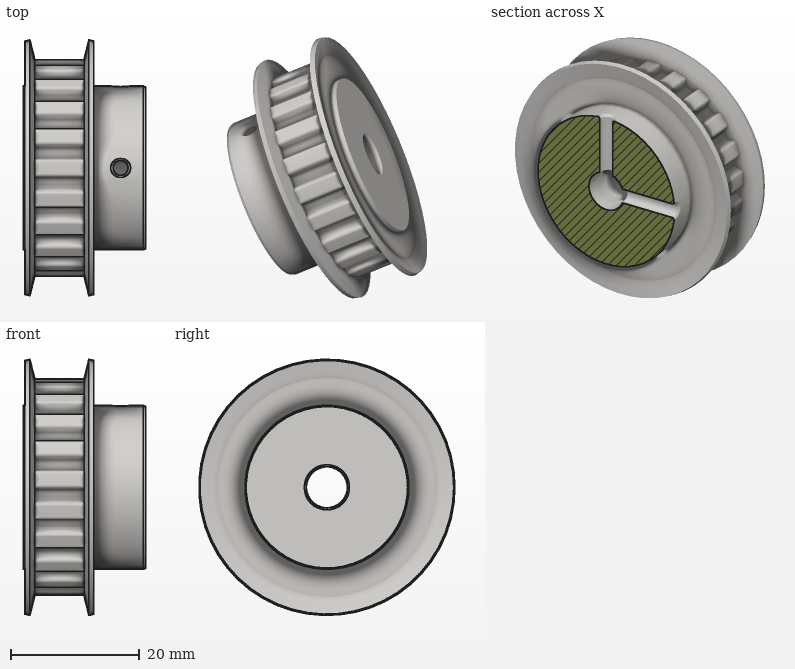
import cadquery as cq
import math

total_length = 19.05
hub_radius = 12.7
hub_chamfer_length = 0.45
hub_chamfer_depth = 0.2
bore_radius = 3.18
bore_chamfer = 0.3

tooth_count = 21
tip_radius = 16.8
tooth_depth = 1.43
groove_floor_width = 1.3
groove_side_angle = 25.0
tooth_rounding = 0.48
belt_start = 1.8
belt_width = 7.7

flange_radius = 19.85
flange_bend_radius = 16.95
flange_thickness = 0.85
flare_angle = 14.0

screw_position = 15.13
screw_angles = (0, -90)
screw_radius = 1.15
screw_countersink_radius = 1.55


def turned(points):
    """Revolve an (X, radius) outline about the X axis."""
    return cq.Workplane("XY").polyline(points).close().revolve(360, (0, 0, 0), (1, 0, 0))


def make_hub():
    return turned([
        (0, 0),
        (0, hub_radius),
        (total_length - hub_chamfer_length, hub_radius),
        (total_length, hub_radius - hub_chamfer_depth),
        (total_length, 0),
    ])


def make_toothed_rim():
    pitch_angle = 360 / tooth_count
    root_radius = tip_radius - tooth_depth
    cutter_height = 2 * tooth_depth
    widening = cutter_height * math.tan(math.radians(groove_side_angle))
    floor_half_width = groove_floor_width / 2
    mouth_half_width = floor_half_width + widening
    cutter = (
        cq.Workplane("YZ")
        .polyline([
            (-floor_half_width, root_radius),
            (floor_half_width, root_radius),
            (mouth_half_width, root_radius + cutter_height),
            (-mouth_half_width, root_radius + cutter_height),
        ])
        .close()
        .extrude(belt_width)
    )
    rim = cq.Workplane("YZ").circle(tip_radius).extrude(belt_width)
    for index in range(tooth_count):
        angle = (index + 0.5) * pitch_angle
        rim = rim.cut(cutter.rotate((0, 0, 0), (1, 0, 0), angle))
    rim = rim.edges("|X").fillet(tooth_rounding)
    return rim.translate((belt_start, 0, 0))


def make_flange(inner_face, outward):
    """Flange with its belt-side face at inner_face; outward is -1 or +1 along X."""
    flare = math.radians(flare_angle)
    flare_offset = (flange_radius - flange_bend_radius) * math.tan(flare)
    outer_face = inner_face + outward * flange_thickness
    rim_inner = inner_face + outward * flare_offset
    sheet_thickness = flange_thickness * math.cos(flare)
    rim_outer = rim_inner + outward * sheet_thickness * math.cos(flare)
    rim_outer_radius = flange_radius - sheet_thickness * math.sin(flare)
    return turned([
        (inner_face, 0),
        (inner_face, flange_bend_radius),
        (rim_inner, flange_radius),
        (rim_outer, rim_outer_radius),
        (outer_face, flange_bend_radius),
        (outer_face, 0),
    ])


def make_bore():
    mouth_radius = bore_radius + bore_chamfer
    return turned([
        (0, 0),
        (0, mouth_radius),
        (bore_chamfer, bore_radius),
        (total_length - bore_chamfer, bore_radius),
        (total_length, mouth_radius),
        (total_length, 0),
    ])


def make_screw_hole(angle):
    countersink_depth = screw_countersink_radius - screw_radius
    return (
        cq.Workplane("XZ", origin=(screw_position, 0, 0))
        .polyline([
            (0, 0),
            (screw_radius, 0),
            (screw_radius, hub_radius - countersink_depth),
            (screw_countersink_radius, hub_radius),
            (0, hub_radius),
        ])
        .close()
        .revolve(360, (0, 0, 0), (0, 1, 0))
        .rotate((0, 0, 0), (1, 0, 0), angle)
    )


result = (
    make_hub()
    .union(make_toothed_rim())
    .union(make_flange(belt_start, -1))
    .union(make_flange(belt_start + belt_width, 1))
    .cut(make_bore())
)
for screw_angle in screw_angles:
    result = result.cut(make_screw_hole(screw_angle))